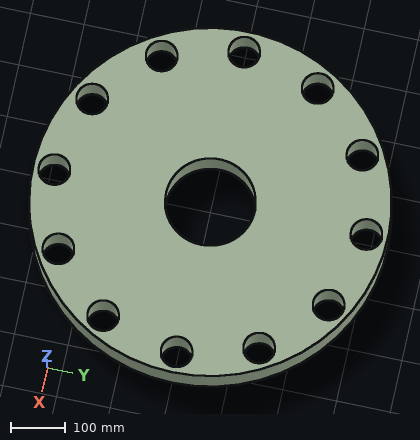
import cadquery as cq

outer_diameter = 660.0
thickness = 70.0
bore_diameter = 165.0

bolt_circle_diameter = 581.0
bolt_hole_diameter = 57.5
bolt_count = 12


def make_plate():
    """Round plate with a central through bore, resting on the XY plane."""
    return (
        cq.Workplane("XY")
        .circle(outer_diameter / 2)
        .circle(bore_diameter / 2)
        .extrude(thickness)
    )


def make_bolt_holes():
    """Cylinders that cut the ring of through holes."""
    return (
        cq.Workplane("XY")
        .polarArray(bolt_circle_diameter / 2, 0, 360, bolt_count)
        .circle(bolt_hole_diameter / 2)
        .extrude(thickness)
    )


result = make_plate().cut(make_bolt_holes())